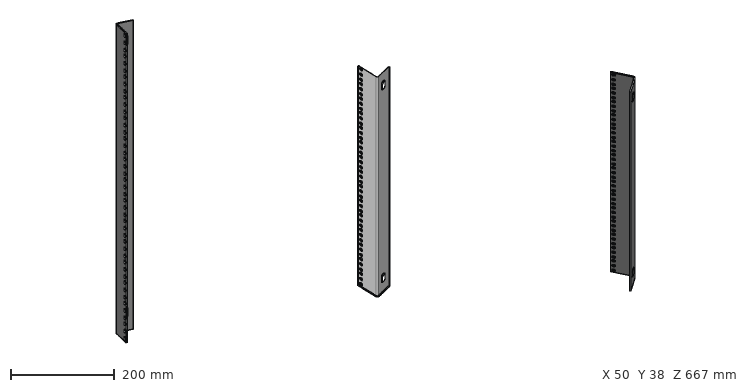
import cadquery as cq

rail_length = 667.0
punched_width = 50.0
slotted_width = 38.0
thickness = 3.0
bend_outer_radius = 6.0
bend_inner_radius = bend_outer_radius - thickness

rack_units = 15
holes_per_unit = 3
unit_height = rail_length / rack_units
long_spacing_parts = 5
short_spacing_parts = 4
hole_pitch = unit_height * long_spacing_parts / (2 * long_spacing_parts + short_spacing_parts)
hole_diameter = 7.5
hole_edge_distance = 6.5

slot_length = 25.5
slot_width = 11.0
slot_end_distance = 40.0
slot_edge_distance = 17.5


def angle_section():
    """L-shaped body with a rounded bend, outer corner of the L at the origin."""
    body = (
        cq.Workplane("XY")
        .polyline([
            (0, 0),
            (punched_width, 0),
            (punched_width, thickness),
            (thickness, thickness),
            (thickness, slotted_width),
            (0, slotted_width),
        ])
        .close()
        .extrude(rail_length)
    )
    outer_edge = cq.selectors.NearestToPointSelector((0, 0, rail_length / 2))
    inner_edge = cq.selectors.NearestToPointSelector((thickness, thickness, rail_length / 2))
    body = body.edges(outer_edge).fillet(bend_outer_radius)
    return body.edges(inner_edge).fillet(bend_inner_radius)


def rack_holes():
    """Round cutters in one column, each group of three centred in its rack unit."""
    hole_x = punched_width - hole_edge_distance
    middle_hole = (holes_per_unit - 1) / 2
    centres = []
    for unit in range(rack_units):
        unit_middle = (unit + 0.5) * unit_height
        for hole in range(holes_per_unit):
            centres.append((hole_x, unit_middle + (hole - middle_hole) * hole_pitch))
    return (
        cq.Workplane("XZ")
        .pushPoints(centres)
        .circle(hole_diameter / 2)
        .extrude(-thickness)
    )


def mounting_slots():
    """Upright slot cutters through the slotted flange, one near each end."""
    slot_y = slotted_width - slot_edge_distance
    centres = [(slot_y, slot_end_distance), (slot_y, rail_length - slot_end_distance)]
    return (
        cq.Workplane("YZ")
        .pushPoints(centres)
        .slot2D(slot_length, slot_width, 90)
        .extrude(thickness)
    )


result = angle_section().cut(rack_holes()).cut(mounting_slots())